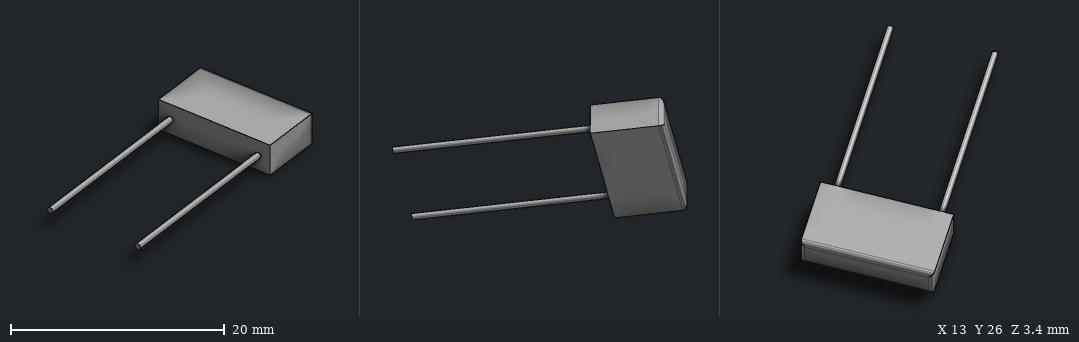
import cadquery as cq

total_length = 26.0
case_width = 13.0
case_height = 3.4
case_length = 7.0
back_edge_radius = 0.5

lead_diameter = 0.65
lead_spacing = 10.2
lead_length = total_length - case_length



def make_case():
    """Rectangular capacitor case with all four edges of its back face rounded."""
    block = cq.Workplane("XY").box(case_width, case_length, case_height, centered=(True, False, True))
    return block.faces(">Y").edges().fillet(back_edge_radius)


def make_lead(x):
    """Straight round wire that starts on the front face of the case and runs toward -Y."""
    return cq.Workplane("XZ").center(x, 0).circle(lead_diameter / 2).extrude(lead_length)


case = make_case()
leads = [make_lead(side * lead_spacing / 2) for side in (-1, 1)]

result = cq.Compound.makeCompound([case.val(), *[lead.val() for lead in leads]])